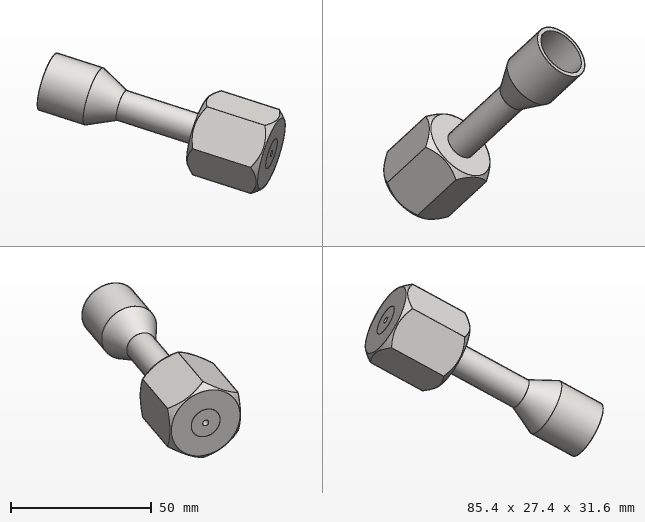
import cadquery as cq
import math

total_length = 85.4
socket_length = 17.6
taper_end = 28.2
nut_length = 27.15
nut_start = total_length - nut_length

socket_diameter = 21.3
socket_bore_diameter = 18.2
stem_diameter = 11.2
stem_bore_diameter = 7.5
orifice_diameter = 2.3

bore_bottom_angle = 54.0
bore_bottom_depth = (stem_bore_diameter - orifice_diameter) / 2 / math.tan(math.radians(bore_bottom_angle / 2))
orifice_start = nut_start
stem_bore_end = orifice_start - bore_bottom_depth

across_flats = 27.4
across_corners = across_flats / math.cos(math.radians(30))
nut_face_diameter = 26.6
chamfer_depth = (across_corners - nut_face_diameter) / 2


def revolve_about_x(profile):
    """Turn a closed outline of (x, radius) points about the X axis."""
    return cq.Workplane("XY").polyline(profile).close().revolve(360, (0, 0, 0), (1, 0, 0))


def make_tube():
    """Socketed tube tapering to a stem, with a small orifice at its far end."""
    outside = [
        (0, socket_diameter / 2),
        (socket_length, socket_diameter / 2),
        (taper_end, stem_diameter / 2),
        (total_length, stem_diameter / 2),
    ]
    inside = [
        (total_length, orifice_diameter / 2),
        (orifice_start, orifice_diameter / 2),
        (stem_bore_end, stem_bore_diameter / 2),
        (taper_end, stem_bore_diameter / 2),
        (socket_length, socket_bore_diameter / 2),
        (0, socket_bore_diameter / 2),
    ]
    return revolve_about_x(outside + inside)


def make_nut():
    """Hexagonal nut chamfered at both ends and bored to fit the stem."""
    hexagon = (
        cq.Workplane("YZ", origin=(nut_start, 0, 0))
        .transformed(rotate=(0, 0, 90))
        .polygon(6, across_corners)
        .extrude(nut_length)
    )
    chamfered_ring = revolve_about_x([
        (nut_start, stem_diameter / 2),
        (nut_start, nut_face_diameter / 2),
        (nut_start + chamfer_depth, across_corners / 2),
        (total_length - chamfer_depth, across_corners / 2),
        (total_length, nut_face_diameter / 2),
        (total_length, stem_diameter / 2),
    ])
    return hexagon.intersect(chamfered_ring)


tube = make_tube()
nut = make_nut()
result = cq.Compound.makeCompound([tube.val(), *nut.solids().vals()])